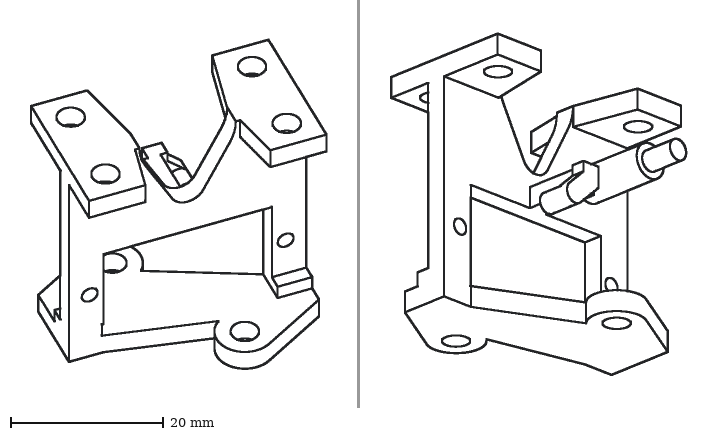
import cadquery as cq
import math

height = 34.6
depth = 33.8
half_depth = depth / 2
thickness = 3.0
embed = 0.35

window_half = 11.97
window_top = 17.5
screw_y = 13.95
screw_z = 10.95
screw_diameter = 2.25
notch_half = 6.85
notch_bottom = 22.7
notch_radius = 2.5
notch_flank = math.radians(28.0)

plate_center_x = -0.07
plate_width = 20.0
plate_inner_y = 8.9
plate_hole_x = 6.0
plate_hole_y = 12.9
mount_diameter = 3.75

base_center_x = -0.1
base_corner_x = 7.47
lobe_x = 9.48
lobe_y = 5.5
lobe_radius = 4.0
right_neck = (6.23, 3.22)
left_neck = (-6.75, -2.6)

step_size = 2.0
front_step_inner_y = 12.2

pin_y = -9.9
pin_z = 24.08
pin_diameter = 3.0
pin_tip_x = -16.65
shoulder_diameter = 5.0
shoulder_x = -11.42

arm_y = -1.9
hook_x = -11.1
hook_thickness = 2.08
hook_y_min = -0.7
hook_y_max = 2.1
peg_y = 3.65
peg_z = 15.55
peg_radius = 1.505
peg_length = 3.0


def block(x0, x1, y0, y1, z0, z1):
    return cq.Workplane("XY").box(x1 - x0, y1 - y0, z1 - z0, centered=False).translate((x0, y0, z0))


def rod(x0, x1, y, z, diameter):
    return cq.Workplane("YZ", origin=(x0, y, z)).circle(diameter / 2).extrude(x1 - x0)


def tangent_point(center, radius, corner, side):
    """Point where a line from corner touches the circle; side is +1 or -1."""
    dx = corner[0] - center[0]
    dy = corner[1] - center[1]
    angle = math.atan2(dy, dx) + side * math.acos(radius / math.hypot(dx, dy))
    return (center[0] + radius * math.cos(angle), center[1] + radius * math.sin(angle))


def make_notch():
    """V-shaped cutter with a round bottom and flanks curving to vertical at the top."""
    sine = math.sin(notch_flank)
    cosine = math.cos(notch_flank)
    bottom_center = notch_bottom + notch_radius
    rim_radius = (notch_radius + (height - bottom_center) * sine - notch_half * cosine) / (1 - cosine)
    rim_center = notch_half - rim_radius

    def rim_point(angle):
        return (rim_center + rim_radius * math.cos(angle), height - rim_radius * math.sin(angle))

    flank_top = rim_point(notch_flank)
    rim_middle = rim_point(notch_flank / 2)
    flank_low = (notch_radius * cosine, bottom_center - notch_radius * sine)
    return (
        cq.Workplane("YZ")
        .moveTo(notch_half, height)
        .threePointArc(rim_middle, flank_top)
        .lineTo(*flank_low)
        .threePointArc((0, notch_bottom), (-flank_low[0], flank_low[1]))
        .lineTo(-flank_top[0], flank_top[1])
        .threePointArc((-rim_middle[0], rim_middle[1]), (-notch_half, height))
        .close()
        .extrude(thickness)
    )


def make_web():
    web = block(0, thickness, -half_depth, half_depth, 0, height)
    web = web.cut(block(0, thickness, -window_half, window_half, 0, window_top))
    step_top = thickness + step_size
    web = web.cut(block(0, thickness, -front_step_inner_y, 0, thickness, step_top))
    for side in (-1, 1):
        web = web.cut(rod(0, thickness, side * screw_y, screw_z, screw_diameter))
    return web.cut(make_notch())


def make_top_plate(side):
    left = plate_center_x - plate_width / 2
    right = plate_center_x + plate_width / 2
    outline = [
        (left, side * half_depth),
        (right, side * half_depth),
        (right, side * plate_inner_y),
        (plate_center_x, side * notch_half),
        (left, side * plate_inner_y),
    ]
    holes = [(plate_center_x + sign * plate_hole_x, side * plate_hole_y) for sign in (-1, 1)]
    plate = cq.Workplane("XY", origin=(0, 0, height - thickness)).polyline(outline).close().extrude(thickness)
    drills = cq.Workplane("XY", origin=(0, 0, height - thickness)).pushPoints(holes)
    return plate.cut(drills.circle(mount_diameter / 2).extrude(thickness))


def make_base():
    right_lobe = (base_center_x + lobe_x, lobe_y)
    left_lobe = (base_center_x - lobe_x, -lobe_y)
    right_corner = (base_center_x + base_corner_x, half_depth)
    left_corner = (base_center_x - base_corner_x, -half_depth)
    outline = [
        left_corner,
        (thickness, -half_depth),
        (thickness, -window_half),
        right_neck,
        right_lobe,
        tangent_point(right_lobe, lobe_radius, right_corner, -1),
        right_corner,
        (0, half_depth),
        (0, window_half),
        left_neck,
        left_lobe,
        tangent_point(left_lobe, lobe_radius, left_corner, -1),
    ]
    lobes = cq.Workplane("XY").pushPoints([left_lobe, right_lobe])
    base = cq.Workplane("XY").polyline(outline).close().extrude(thickness)
    base = base.union(lobes.circle(lobe_radius).extrude(thickness))
    return base.cut(lobes.circle(mount_diameter / 2).extrude(thickness))


def make_steps():
    step_top = thickness + step_size
    front = block(-step_size, thickness, -half_depth, -front_step_inner_y, 0, step_top)
    back = block(0, thickness + step_size, window_half, half_depth, 0, step_top)
    return front.union(back)


def make_pin():
    shoulder = rod(shoulder_x, embed, pin_y, pin_z, shoulder_diameter)
    return shoulder.union(rod(pin_tip_x, shoulder_x + embed, pin_y, pin_z, pin_diameter))


def make_arm():
    arm_top = window_top + thickness
    hook_inner_x = hook_x + hook_thickness
    bar = block(hook_inner_x, embed, arm_y, arm_y + thickness, window_top, arm_top)
    peg_center = (peg_y, peg_z)
    lower_corner = (hook_y_min, window_top)
    lower = tangent_point(peg_center, peg_radius, lower_corner, 1)
    upper = (2 * peg_y - lower[0], 2 * peg_z - lower[1])
    slope = (lower[1] - lower_corner[1]) / (lower[0] - lower_corner[0])
    upper_corner = (hook_y_max, upper[1] + slope * (hook_y_max - upper[0]))
    direction = math.atan(slope)
    end = (peg_y + peg_radius * math.cos(direction), peg_z + peg_radius * math.sin(direction))
    hook = (
        cq.Workplane("YZ", origin=(hook_x, 0, 0))
        .moveTo(hook_y_min, arm_top)
        .lineTo(*lower_corner)
        .lineTo(*lower)
        .threePointArc(end, upper)
        .lineTo(*upper_corner)
        .lineTo(hook_y_max, arm_top)
        .close()
        .extrude(hook_thickness)
    )
    peg = rod(hook_inner_x, hook_inner_x + peg_length, peg_y, peg_z, 2 * peg_radius)
    return bar.union(hook).union(peg)


result = make_web()
for feature in (make_top_plate(-1), make_top_plate(1), make_base(), make_steps(), make_pin(), make_arm()):
    result = result.union(feature)